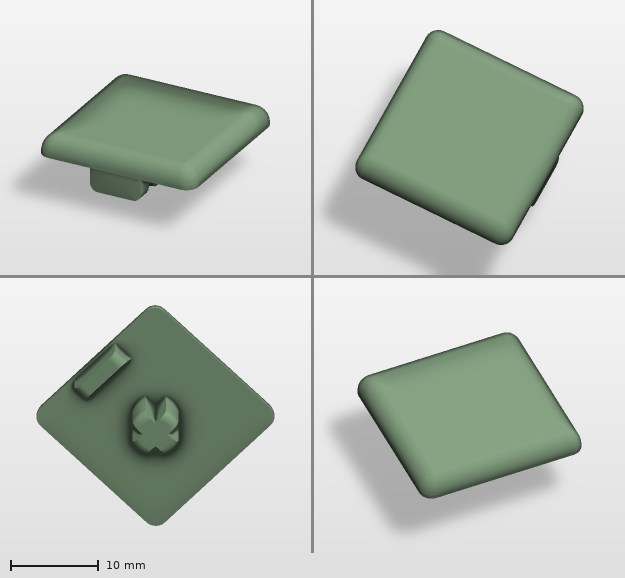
import cadquery as cq

cap_side = 20
cap_height = 2.5
cap_corner_radius = 1.5
cap_top_radius = 2

post_diameter = 5.7
post_height = 5
post_arm_width = 2
post_tip_radius = 1

tab_width = 6.5
tab_height = 3
tab_setback = 0.25
tab_root_thickness = 2.72
tab_tip_thickness = 1.65
tab_corner_radius = 1


def make_cap():
    """Rounded square plate whose upper face is at Z = cap_height."""
    plate = cq.Workplane("XY").rect(cap_side, cap_side).extrude(cap_height)
    plate = plate.edges("|Z").fillet(cap_corner_radius)
    return plate.faces(">Z").edges().fillet(cap_top_radius)


def make_post():
    """Round-ended cylinder trimmed to a cross with curved arm ends."""
    cylinder = cq.Workplane("XY").circle(post_diameter / 2).extrude(-post_height)
    cylinder = cylinder.faces("<Z").edges().fillet(post_tip_radius)
    arm_x = cq.Workplane("XY").rect(post_diameter, post_arm_width).extrude(-post_height)
    arm_y = cq.Workplane("XY").rect(post_arm_width, post_diameter).extrude(-post_height)
    return cylinder.intersect(arm_x.union(arm_y))


def make_tab():
    """Tab with an upright outer face, a sloping inner face and rounded lower corners."""
    outer_y = -cap_side / 2 + tab_setback
    profile = [
        (outer_y, 0),
        (outer_y + tab_root_thickness, 0),
        (outer_y + tab_tip_thickness, -tab_height),
        (outer_y, -tab_height),
    ]
    wedge = cq.Workplane("YZ").polyline(profile).close().extrude(tab_width / 2, both=True)
    outline = (
        cq.Workplane("XY")
        .box(tab_width, cap_side, tab_height, centered=(True, True, False))
        .translate((0, 0, -tab_height))
        .edges("|Y and <Z")
        .fillet(tab_corner_radius)
    )
    return wedge.intersect(outline)


result = make_cap().union(make_post()).union(make_tab())